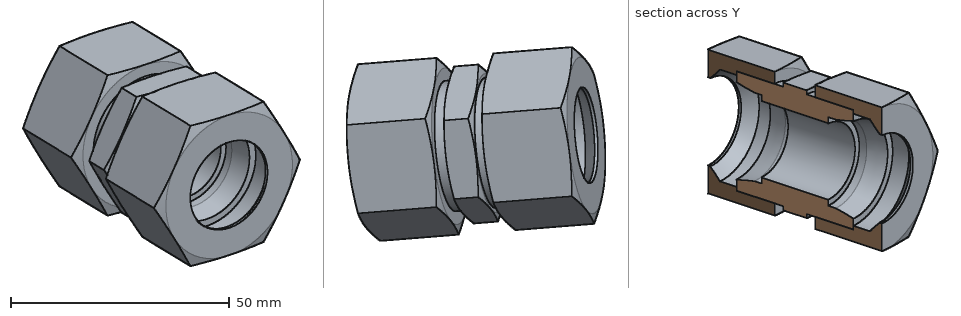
import cadquery as cq
import math

overall_length = 52.0
nut_length = 20.0
nut_across_flats = 36.0
collar_across_flats = 32.0
collar_width = 7.0
hex_chamfer_angle = 15.0

body_length = 35.0
thread_diameter = 30.0
tube_diameter = 22.0
through_diameter = 19.0
tube_stop_distance = 19.95
cone_mouth_diameter = 24.3
cone_half_angle = 12.0

nut_hole_land = 0.8
nut_bore_diameter = 27.8
clamping_cone_half_angle = 45.0

half_length = overall_length / 2
body_half_length = body_length / 2
tube_stop_x = tube_stop_distance / 2


def cone_length(large_diameter, small_diameter, half_angle):
    """Axial length of a cone between two diameters."""
    return (large_diameter - small_diameter) / 2 / math.tan(math.radians(half_angle))


def revolve_x(profile):
    """Turn a closed half profile, drawn in X and radius, around the X axis."""
    return profile.close().revolve(360, (0, 0, 0), (1, 0, 0))


def cylinder_x(diameter, start_x, length):
    """Round bar along X."""
    return cq.Workplane("YZ", origin=(start_x, 0, 0)).circle(diameter / 2).extrude(length)


def chamfered_hexagon(across_flats, start_x, length):
    """Hexagonal bar along X, flats facing up and down, corners turned off at both ends."""
    across_corners = across_flats / math.cos(math.radians(30))
    bar = cq.Workplane("YZ", origin=(start_x, 0, 0)).polygon(6, across_corners).extrude(length)
    flat_radius = across_flats / 2
    corner_radius = across_corners / 2
    chamfer_length = (corner_radius - flat_radius) * math.tan(math.radians(hex_chamfer_angle))
    end_x = start_x + length
    turned_envelope = (
        cq.Workplane("XY")
        .moveTo(start_x, 0)
        .lineTo(start_x, flat_radius)
        .lineTo(start_x + chamfer_length, corner_radius)
        .lineTo(end_x - chamfer_length, corner_radius)
        .lineTo(end_x, flat_radius)
        .lineTo(end_x, 0)
    )
    return bar.intersect(revolve_x(turned_envelope))


def make_left_socket():
    """Cavity at the -X end of the body: flared mouth, then a straight tube seat up to its stop."""
    mouth_x = -body_half_length
    cone_end_x = mouth_x + cone_length(cone_mouth_diameter, tube_diameter, cone_half_angle)
    profile = (
        cq.Workplane("XY")
        .moveTo(mouth_x, 0)
        .lineTo(mouth_x, cone_mouth_diameter / 2)
        .lineTo(cone_end_x, tube_diameter / 2)
        .lineTo(-tube_stop_x, tube_diameter / 2)
        .lineTo(-tube_stop_x, 0)
    )
    return revolve_x(profile)


def make_fitting_body():
    """Threaded tube with a hexagonal collar and a tube socket at each end."""
    body = cylinder_x(thread_diameter, -body_half_length, body_length)
    body = body.union(chamfered_hexagon(collar_across_flats, -collar_width / 2, collar_width))
    body = body.cut(cylinder_x(through_diameter, -body_half_length, body_length))
    left_socket = make_left_socket()
    return body.cut(left_socket).cut(left_socket.mirror("YZ"))


def make_left_nut_cavity():
    """Inside of the -X nut: tube hole, clamping cone, bore, then the recess around the thread."""
    outer_x = -half_length
    inner_x = outer_x + nut_length
    cone_start_x = outer_x + nut_hole_land
    cone_end_x = cone_start_x + cone_length(nut_bore_diameter, tube_diameter, clamping_cone_half_angle)
    profile = (
        cq.Workplane("XY")
        .moveTo(outer_x, 0)
        .lineTo(outer_x, tube_diameter / 2)
        .lineTo(cone_start_x, tube_diameter / 2)
        .lineTo(cone_end_x, nut_bore_diameter / 2)
        .lineTo(-body_half_length, nut_bore_diameter / 2)
        .lineTo(-body_half_length, thread_diameter / 2)
        .lineTo(inner_x, thread_diameter / 2)
        .lineTo(inner_x, 0)
    )
    return revolve_x(profile)


def make_left_nut():
    """Hexagonal union nut at the -X end."""
    return chamfered_hexagon(nut_across_flats, -half_length, nut_length).cut(make_left_nut_cavity())


fitting_body = make_fitting_body()
left_nut = make_left_nut()
nuts = [left_nut.rotate((0, 0, 0), (0, 0, 1), angle) for angle in (0, 180)]

result = cq.Compound.makeCompound([fitting_body.val(), *[nut.val() for nut in nuts]])